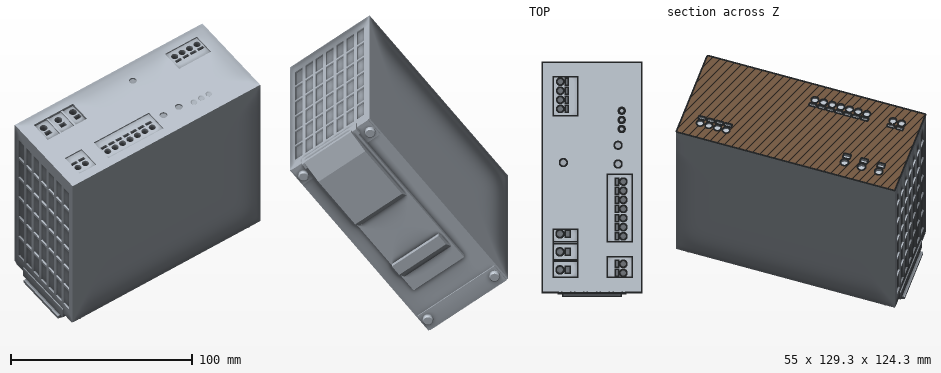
import cadquery as cq


WIDTH = 55.0
OVERALL_DEPTH = 129.3
OVERALL_HEIGHT = 124.3

HOOK_DROP = 9.2
HOOK_WIDTH = 32.3

DEPTH = 127.3
HEIGHT = OVERALL_HEIGHT - HOOK_DROP

VENT_COLUMNS = 7
VENT_ROWS = 6
VENT_WIDTH = 5.1
VENT_HEIGHT = 14.9
VENT_PITCH_X = 7.1
VENT_PITCH_Z = 16.6
VENT_DEPTH = 1.0
VENT_TOP_MARGIN = 9.2

LEFT_RECESS_X = -21.4
LEFT_RECESS_WIDTH = 13.4
RIGHT_RECESS_X = 8.3
RIGHT_RECESS_WIDTH = 13.9
SIGNAL_RECESS_DEPTH = 1.0
POWER_RECESS_DEPTH = 1.8
ENTRY_DEPTH = 5.0
FRONT_RECESS_END = 118.8

SIGNAL_ENTRY_DIAMETER = 3.9
SIGNAL_SLOT_WIDTH = 1.8
SLOT_LENGTH = 3.9
SIGNAL_PITCH = 5.03
LEFT_SIGNAL_ENTRY_X = -17.5
LEFT_SIGNAL_SLOT_X = -13.95
RIGHT_SIGNAL_ENTRY_X = 17.3
RIGHT_SIGNAL_SLOT_X = 13.75
LEFT_SIGNAL_START = 8.1
LEFT_SIGNAL_END = 29.7
LEFT_SIGNAL_COUNT = 4
LEFT_SIGNAL_FIRST = 10.8
LONG_SIGNAL_START = 61.9
LONG_SIGNAL_END = 99.3
LONG_SIGNAL_COUNT = 7
LONG_SIGNAL_FIRST = 66.0
SHORT_SIGNAL_START = 107.5
SHORT_SIGNAL_COUNT = 2
SHORT_SIGNAL_FIRST = 111.4

POWER_ENTRY_DIAMETER = 4.3
POWER_SLOT_WIDTH = 2.8
POWER_PITCH = 9.95
POWER_COUNT = 3
POWER_ENTRY_X = -17.7
POWER_SLOT_X = -13.4
POWER_FIRST = 94.8
POWER_RECESS_START = 92.2
RIB_HEIGHT = 0.8
RIB_SPANS = [(99.3, 100.35), (109.1, 110.05)]

LED_DIAMETER = 3.7
LED_FLOOR_DIAMETER = 2.9
LED_DEPTH = 0.4
LED_X = 16.4
LED_FIRST = 26.9
LED_PITCH = 5.05
LED_COUNT = 3
ADJUSTER_DIAMETER = 4.2
ADJUSTER_DEPTH = 1.0
ADJUSTERS = [(14.4, 45.95), (14.4, 56.3), (-15.8, 55.5)]

FLANGE_WIDTH = 53.0
FLANGE_THICKNESS = 0.8
FLANGE_LENGTH = 11.3
SCREW_DIAMETER = 5.9
SCREW_HEIGHT = 2.3
SCREW_CHAMFER = 0.6
SCREW_X = 23.0
SCREW_INSET = 6.5

BRACKET_START = 27.1
BRACKET_WIDTH = 35.0
BRACKET_DROP = 3.6
LIP_WIDTH = 37.5
LIP_LENGTH = 3.5
LIP_RISE = 3.1
LIP_PROJECTION = 0.6

FIXED_HOOK = [
    (37.0, -BRACKET_DROP),
    (42.0, -8.75),
    (48.7, -8.75),
    (48.7, -6.1),
    (46.9, -5.1),
    (45.5, -5.1),
    (45.5, -BRACKET_DROP),
]
LATCH_TOP = -3.9
LATCH_JAW = [(80.6, -BRACKET_DROP), (80.6, -4.3), (78.3, -5.0), (82.4, -HOOK_DROP)]
LATCH_LEVER = [(116.2, -HOOK_DROP), (OVERALL_DEPTH, -6.1), (OVERALL_DEPTH, LATCH_TOP)]


def block(x, width, rear, front, bottom, top):
    """Box from left edge x, between two distances from the rear face and two heights."""
    solid = cq.Workplane("XY").box(width, front - rear, top - bottom, centered=False)
    return solid.translate((x, -front, bottom))


def centered_block(width, rear, front, bottom, top):
    return block(-width / 2, width, rear, front, bottom, top)


def drill(x, distance, diameter, top, depth):
    """Cylinder that reaches down from the height top."""
    return cq.Workplane("XY", origin=(x, -distance, top - depth)).circle(diameter / 2).extrude(depth)


def vents():
    grid_middle = HEIGHT - VENT_TOP_MARGIN - VENT_HEIGHT / 2 - (VENT_ROWS - 1) * VENT_PITCH_Z / 2
    return (
        cq.Workplane("XZ", origin=(0, -DEPTH, grid_middle))
        .rarray(VENT_PITCH_X, VENT_PITCH_Z, VENT_COLUMNS, VENT_ROWS)
        .rect(VENT_WIDTH, VENT_HEIGHT)
        .extrude(-VENT_DEPTH)
    )


def terminals(body, recess, poles, entry, slot):
    """Cut a recess and, in its floor, a row of wire entries with their release slots."""
    recess_x, recess_width, rear, front, recess_depth = recess
    count, first, pitch = poles
    entry_x, entry_diameter = entry
    slot_x, slot_width = slot
    floor = HEIGHT - recess_depth
    body = body.cut(block(recess_x, recess_width, rear, front, floor, HEIGHT))
    for index in range(count):
        distance = first + index * pitch
        body = body.cut(drill(entry_x, distance, entry_diameter, floor, ENTRY_DEPTH))
        slot_left = slot_x - slot_width / 2
        slot_rear = distance - SLOT_LENGTH / 2
        slot_front = slot_rear + SLOT_LENGTH
        body = body.cut(block(slot_left, slot_width, slot_rear, slot_front, floor - ENTRY_DEPTH, floor))
    return body


def left_signal_terminals(body):
    return terminals(
        body,
        (LEFT_RECESS_X, LEFT_RECESS_WIDTH, LEFT_SIGNAL_START, LEFT_SIGNAL_END, SIGNAL_RECESS_DEPTH),
        (LEFT_SIGNAL_COUNT, LEFT_SIGNAL_FIRST, SIGNAL_PITCH),
        (LEFT_SIGNAL_ENTRY_X, SIGNAL_ENTRY_DIAMETER),
        (LEFT_SIGNAL_SLOT_X, SIGNAL_SLOT_WIDTH),
    )


def right_signal_terminals(body, rear, front, count, first):
    return terminals(
        body,
        (RIGHT_RECESS_X, RIGHT_RECESS_WIDTH, rear, front, SIGNAL_RECESS_DEPTH),
        (count, first, SIGNAL_PITCH),
        (RIGHT_SIGNAL_ENTRY_X, SIGNAL_ENTRY_DIAMETER),
        (RIGHT_SIGNAL_SLOT_X, SIGNAL_SLOT_WIDTH),
    )


def power_terminals(body):
    body = terminals(
        body,
        (LEFT_RECESS_X, LEFT_RECESS_WIDTH, POWER_RECESS_START, FRONT_RECESS_END, POWER_RECESS_DEPTH),
        (POWER_COUNT, POWER_FIRST, POWER_PITCH),
        (POWER_ENTRY_X, POWER_ENTRY_DIAMETER),
        (POWER_SLOT_X, POWER_SLOT_WIDTH),
    )
    floor = HEIGHT - POWER_RECESS_DEPTH
    for rear, front in RIB_SPANS:
        body = body.union(block(LEFT_RECESS_X, LEFT_RECESS_WIDTH, rear, front, floor, floor + RIB_HEIGHT))
    return body


def indicators_and_adjusters(body):
    for index in range(LED_COUNT):
        dimple = (
            cq.Workplane("XY", origin=(LED_X, -(LED_FIRST + index * LED_PITCH), HEIGHT))
            .circle(LED_DIAMETER / 2)
            .workplane(offset=-LED_DEPTH)
            .circle(LED_FLOOR_DIAMETER / 2)
            .loft()
        )
        body = body.cut(dimple)
    for x, distance in ADJUSTERS:
        body = body.cut(drill(x, distance, ADJUSTER_DIAMETER, HEIGHT, ADJUSTER_DEPTH))
    return body


def flanges_and_screws():
    rear_flange = centered_block(FLANGE_WIDTH, 0, FLANGE_LENGTH, -FLANGE_THICKNESS, 0)
    front_flange = centered_block(FLANGE_WIDTH, DEPTH - FLANGE_LENGTH, DEPTH, -FLANGE_THICKNESS, 0)
    screws = (
        cq.Workplane("XY", origin=(0, -DEPTH / 2, -FLANGE_THICKNESS - SCREW_HEIGHT))
        .rarray(2 * SCREW_X, DEPTH - 2 * SCREW_INSET, 2, 2)
        .circle(SCREW_DIAMETER / 2)
        .extrude(SCREW_HEIGHT)
        .faces("<Z")
        .chamfer(SCREW_CHAMFER)
    )
    return rear_flange.union(front_flange).union(screws)


def hook(outline):
    """Extrude a side outline across the hook width."""
    points = [(-distance, height) for distance, height in outline]
    return cq.Workplane("YZ").polyline(points).close().extrude(HOOK_WIDTH / 2, both=True)


def bracket():
    lip_front = DEPTH + LIP_PROJECTION
    lip_rear = lip_front - LIP_LENGTH
    plate = centered_block(BRACKET_WIDTH, BRACKET_START, lip_rear, -BRACKET_DROP, 0)
    lip = centered_block(LIP_WIDTH, lip_rear, lip_front, -BRACKET_DROP, LIP_RISE)
    latch_outline = LATCH_JAW + LATCH_LEVER + [(lip_rear, LATCH_TOP), (lip_rear, -BRACKET_DROP)]
    return plate.union(lip).union(hook(FIXED_HOOK)).union(hook(latch_outline))


body = centered_block(WIDTH, 0, DEPTH, 0, HEIGHT).cut(vents())
body = left_signal_terminals(body)
body = right_signal_terminals(body, LONG_SIGNAL_START, LONG_SIGNAL_END, LONG_SIGNAL_COUNT, LONG_SIGNAL_FIRST)
body = right_signal_terminals(
    body, SHORT_SIGNAL_START, FRONT_RECESS_END, SHORT_SIGNAL_COUNT, SHORT_SIGNAL_FIRST
)
body = power_terminals(body)
body = indicators_and_adjusters(body)
result = body.union(flanges_and_screws()).union(bracket())